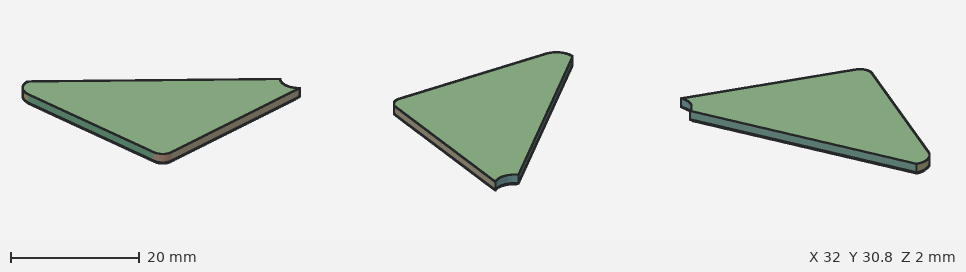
import cadquery as cq
import math

length = 32.0
width = 30.75
thickness = 2.0

left_radius = 3.0
right_radius = 2.0
notch_radius = 3.0
chamfer = 0.48

slope_top_x = width - left_radius
notch_half_width = (length - slope_top_x) / 2
notch_depth = notch_radius - math.sqrt(notch_radius**2 - notch_half_width**2)


def round_middle(radius):
    """Distance from a square corner's sides to the middle of its rounding."""
    return radius * (1 - math.sqrt(0.5))


left_middle = round_middle(left_radius)
right_middle = round_middle(right_radius)

plate = (
    cq.Workplane("XY")
    .moveTo(left_radius, 0)
    .lineTo(length - right_radius, 0)
    .threePointArc((length - right_middle, right_middle), (length, right_radius))
    .lineTo(length, width)
    .threePointArc((length - notch_half_width, width - notch_depth), (slope_top_x, width))
    .lineTo(0, left_radius)
    .threePointArc((left_middle, left_middle), (left_radius, 0))
    .close()
    .extrude(thickness)
)

result = plate.faces("<Z").chamfer(chamfer)